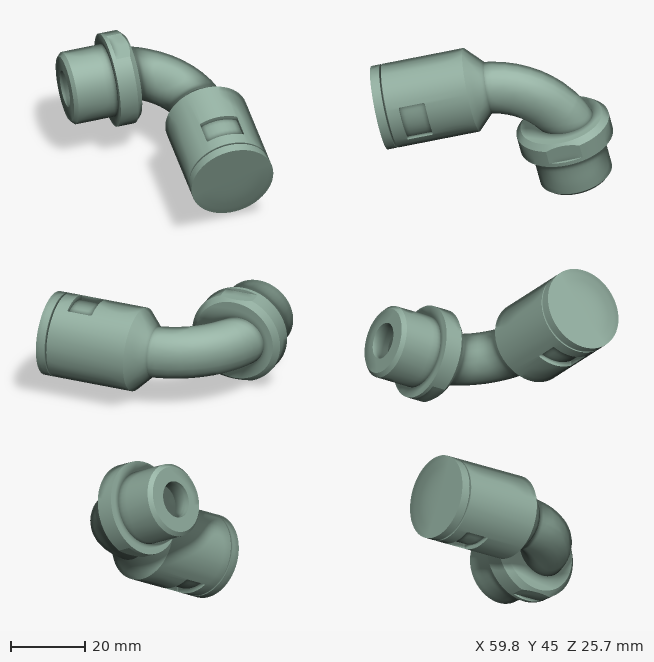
import cadquery as cq
import math

stud_diameter = 20.0
stud_length = 12.0
stud_chamfer = 1.0
bore_diameter = 10.0
bore_depth = 5.0

flange_diameter = 25.7
flange_thickness = 6.45
flange_chamfer = 1.5
flats_width = 24.0
flats_rim = 1.1

overall_length = 59.8
overall_width = 45.0
socket_diameter = 23.0
socket_end_x = overall_length - flange_diameter / 2
socket_axis_y = overall_width - socket_diameter / 2
socket_cone_end_x = 21.4
socket_tip_diameter = 9.55
end_ring_width = 2.5
groove_width = 0.55
groove_diameter = 18.3

window_length = 7.2
window_width = 10.45
window_corner_radius = 0.35
window_floor_diameter = 20.45
window_start_x = 33.25

tube_diameter = 14.0
bend_radius = 23.9
bend_center_x = 20.95
bend_center_y = 9.55


def cylinder_along_y(diameter, start_y, length):
    plane = cq.Workplane("XZ", origin=(0, start_y, 0))
    return plane.circle(diameter / 2).extrude(-length)


def cylinder_along_x(diameter, start_x, length):
    plane = cq.Workplane("YZ", origin=(start_x, socket_axis_y, 0))
    return plane.circle(diameter / 2).extrude(length)


def make_stud():
    stud = cylinder_along_y(stud_diameter, 0, stud_length)
    return stud.faces("<Y").chamfer(stud_chamfer)


def make_flange():
    flange = cylinder_along_y(flange_diameter, stud_length, flange_thickness)
    flange = flange.faces(">Y").chamfer(flange_chamfer)
    flats_start_y = stud_length + flats_rim
    cut_height = flange_diameter - flats_width
    for side in (-1, 1):
        flat_cut = cq.Workplane("XY").box(
            flange_diameter, flange_thickness, cut_height, centered=(True, False, True)
        )
        flat_z = side * (flats_width + cut_height) / 2
        flange = flange.cut(flat_cut.translate((0, flats_start_y, flat_z)))
    return flange


def make_socket():
    cone_tip_radius = socket_tip_diameter / 2
    cone_start_x = socket_cone_end_x - (socket_diameter / 2 - cone_tip_radius)
    profile = [
        (cone_start_x, socket_axis_y),
        (cone_start_x, socket_axis_y + cone_tip_radius),
        (socket_cone_end_x, socket_axis_y + socket_diameter / 2),
        (socket_end_x, socket_axis_y + socket_diameter / 2),
        (socket_end_x, socket_axis_y),
    ]
    axis_start = (0, socket_axis_y)
    axis_end = (1, socket_axis_y)
    socket = cq.Workplane("XY").polyline(profile).close().revolve(360, axis_start, axis_end)

    groove_start_x = socket_end_x - end_ring_width - groove_width
    groove = cylinder_along_x(socket_diameter, groove_start_x, groove_width)
    groove = groove.cut(cylinder_along_x(groove_diameter, groove_start_x, groove_width))
    return socket.cut(groove).cut(make_windows())


def make_windows():
    windows = (
        cq.Workplane("XY")
        .box(window_length, window_width, socket_diameter)
        .edges("|Z")
        .fillet(window_corner_radius)
        .translate((window_start_x + window_length / 2, socket_axis_y, 0))
    )
    return windows.cut(cylinder_along_x(window_floor_diameter, window_start_x, window_length))


def make_tube():
    bend_start_y = stud_length + flange_thickness / 2
    bend_end_x = socket_cone_end_x
    start_angle = math.asin((bend_start_y - bend_center_y) / bend_radius)
    end_angle = math.acos((bend_end_x - bend_center_x) / bend_radius)
    sweep_degrees = math.degrees(math.pi - start_angle - end_angle)
    ring = (
        cq.Workplane("XZ")
        .center(-bend_radius, 0)
        .circle(tube_diameter / 2)
        .revolve(sweep_degrees, (bend_radius, 0), (bend_radius, -1))
    )
    ring = ring.rotate((0, 0, 0), (0, 0, 1), -math.degrees(start_angle))
    return ring.translate((bend_center_x, bend_center_y, 0))


bore = cylinder_along_y(bore_diameter, 0, bore_depth)
result = make_stud().union(make_flange()).union(make_tube()).union(make_socket()).cut(bore)